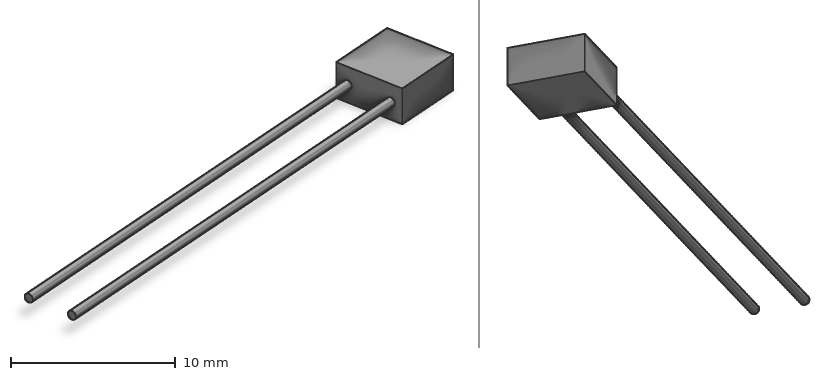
import cadquery as cq

TOTAL_LENGTH = 36.83

BODY_SIDE = 5.1
BODY_THICKNESS = 2.55

LEAD_DIAMETER = 0.63
LEAD_SPACING = 3.3
LEAD_LENGTH = TOTAL_LENGTH - BODY_SIDE


def make_body():
    """Plain block centred on X and Z, with its front face on the plane Y = 0."""
    return cq.Workplane("XY").box(
        BODY_SIDE, BODY_SIDE, BODY_THICKNESS, centered=(True, False, True)
    )


def make_lead(axis_x):
    """Straight round wire that butts against the front face and runs toward -Y."""
    return (
        cq.Workplane("XZ")
        .center(axis_x, 0)
        .circle(LEAD_DIAMETER / 2)
        .extrude(LEAD_LENGTH)
    )


body = make_body()
leads = [make_lead(side * LEAD_SPACING / 2) for side in (-1, 1)]

result = cq.Compound.makeCompound([body.val(), *[lead.val() for lead in leads]])